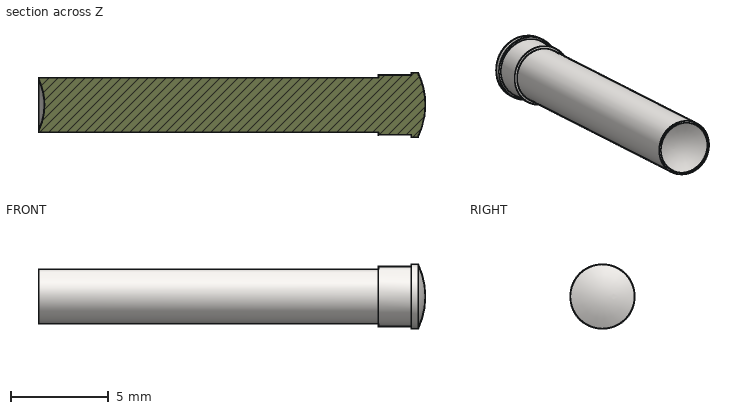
import cadquery as cq

total_length = 19.81
shaft_radius = 1.4
collar_radius = 1.55
head_diameter = 3.3
shaft_length = 17.4
collar_length = 1.68
rim_length = 0.35
dish_radius = 1.3
dish_depth = 0.3

head_radius = head_diameter / 2

tail_x = -total_length / 2
collar_x = tail_x + shaft_length
rim_x = collar_x + collar_length
dome_x = rim_x + rim_length
tip_x = total_length / 2


def cap_sphere_radius(base_radius, height):
    """Radius of the sphere whose cap has this base radius and height."""
    return (base_radius**2 + height**2) / (2 * height)


def arc_middle(base_radius, height):
    """Height above the cap base at half the base radius."""
    sphere_radius = cap_sphere_radius(base_radius, height)
    return height - sphere_radius + (sphere_radius**2 - (base_radius / 2) ** 2) ** 0.5


dome_height = tip_x - dome_x
dome_middle = (dome_x + arc_middle(head_radius, dome_height), head_radius / 2)
dish_middle = (tail_x + arc_middle(dish_radius, dish_depth), dish_radius / 2)

half_section = (
    cq.Workplane("XY")
    .moveTo(tail_x + dish_depth, 0)
    .threePointArc(dish_middle, (tail_x, dish_radius))
    .lineTo(tail_x, shaft_radius)
    .lineTo(collar_x, shaft_radius)
    .lineTo(collar_x, collar_radius)
    .lineTo(rim_x, collar_radius)
    .lineTo(rim_x, head_radius)
    .lineTo(dome_x, head_radius)
    .threePointArc(dome_middle, (tip_x, 0))
    .close()
)

result = half_section.revolve(360, (0, 0, 0), (1, 0, 0))